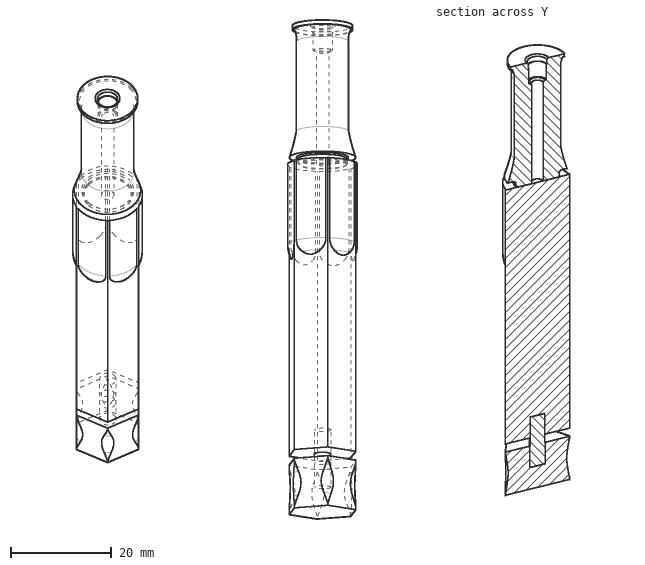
import cadquery as cq
import math

total_height = 98.6
knob_height = 10.1
barrel_bottom = 11.8
barrel_top = 70.5

across_corners = 14.3

grip_diameter = 13.9
grip_bottom = 54.3
grip_round_height = 2.4
grip_round_radius = 6.5
grip_taper_height = 1.2

waist_diameter = 13.1
waist_margin = 0.4
waist_arc_height = 4.7

rod_diameter = 3.3
rod_engagement = 4.9

neck_diameter = 9.8
neck_chamfer_height = 0.2
neck_chamfer_width = 0.2
neck_flare = 0.3

skirt_bottom = 71.9
skirt_diameter = 13.2
skirt_sag = 0.1
tube_diameter = 10.5
tube_bottom = 77.2
tube_top = 95.4
flare_diameter = 11.2
flare_sag = 0.2
flange_diameter = 12.0
flange_thickness = 0.8

mouth_diameter = 4.9
mouth_bore_diameter = 4.0
mouth_chamfer_depth = 0.3
mouth_bore_depth = 1.4
middle_bore_diameter = 3.8
middle_bore_depth = 4.9
countersink_diameter = 3.3
airway_diameter = 2.5


def hex_prism(bottom, top):
    return cq.Workplane("XY").workplane(offset=bottom).polygon(6, across_corners).extrude(top - bottom)


def cylinder(diameter, bottom, top):
    return cq.Workplane("XY").workplane(offset=bottom).circle(diameter / 2).extrude(top - bottom)


def revolve_about_z(profile):
    """Revolve a closed profile, drawn as (radius, height), about the Z axis."""
    return profile.revolve(360, (0, 0, 0), (0, 1, 0))


def make_waist_cutter():
    corner_radius = across_corners / 2
    waist_radius = waist_diameter / 2
    middle = knob_height / 2
    half_height = middle - waist_margin
    half_arc = waist_arc_height / 2
    slope = (corner_radius - waist_radius) / (half_height - half_arc / 2)
    arc_end_radius = waist_radius + slope * half_arc / 2
    profile = (
        cq.Workplane("XZ")
        .moveTo(corner_radius, middle - half_height)
        .lineTo(arc_end_radius, middle - half_arc)
        .threePointArc((waist_radius, middle), (arc_end_radius, middle + half_arc))
        .lineTo(corner_radius, middle + half_height)
        .close()
    )
    return revolve_about_z(profile)


def make_knob():
    rod_socket = cylinder(rod_diameter, knob_height - rod_engagement, knob_height)
    return hex_prism(0, knob_height).cut(make_waist_cutter()).cut(rod_socket)


def make_rod():
    return cylinder(rod_diameter, knob_height - rod_engagement, barrel_bottom + rod_engagement)


def make_grip():
    grip_radius = grip_diameter / 2
    round_angle = math.asin(grip_round_height / grip_round_radius)
    round_end_radius = grip_radius - grip_round_radius * (1 - math.cos(round_angle))
    round_end = grip_bottom - grip_round_height
    taper_end_radius = round_end_radius - grip_taper_height * math.tan(round_angle)
    taper_end = round_end - grip_taper_height
    profile = (
        cq.Workplane("XZ")
        .moveTo(0, taper_end)
        .lineTo(taper_end_radius, taper_end)
        .lineTo(round_end_radius, round_end)
        .radiusArc((grip_radius, grip_bottom), -grip_round_radius)
        .lineTo(grip_radius, barrel_top)
        .lineTo(0, barrel_top)
        .close()
    )
    return revolve_about_z(profile)


def make_barrel():
    rod_socket = cylinder(rod_diameter, barrel_bottom, barrel_bottom + rod_engagement)
    return hex_prism(barrel_bottom, barrel_top).union(make_grip()).cut(rod_socket)


def make_airway():
    mouth_radius = mouth_diameter / 2
    mouth_bore_radius = mouth_bore_diameter / 2
    middle_bore_radius = middle_bore_diameter / 2
    countersink_radius = countersink_diameter / 2
    airway_radius = airway_diameter / 2
    step = total_height - mouth_bore_depth
    ledge = total_height - middle_bore_depth
    countersink_end = ledge - (countersink_radius - airway_radius)
    profile = (
        cq.Workplane("XZ")
        .moveTo(0, barrel_top)
        .lineTo(airway_radius, barrel_top)
        .lineTo(airway_radius, countersink_end)
        .lineTo(countersink_radius, ledge)
        .lineTo(middle_bore_radius, ledge)
        .lineTo(middle_bore_radius, step)
        .lineTo(mouth_bore_radius, step)
        .lineTo(mouth_bore_radius, total_height - mouth_chamfer_depth)
        .lineTo(mouth_radius, total_height)
        .lineTo(0, total_height)
        .close()
    )
    return revolve_about_z(profile)


def make_mouthpiece():
    neck_radius = neck_diameter / 2
    skirt_radius = skirt_diameter / 2
    tube_radius = tube_diameter / 2
    flare_radius = flare_diameter / 2
    flange_radius = flange_diameter / 2
    flange_bottom = total_height - flange_thickness
    profile = (
        cq.Workplane("XZ")
        .moveTo(0, barrel_top)
        .lineTo(neck_radius - neck_chamfer_width, barrel_top)
        .lineTo(neck_radius, barrel_top + neck_chamfer_height)
        .lineTo(neck_radius, skirt_bottom - neck_flare)
        .lineTo(neck_radius + neck_flare, skirt_bottom)
        .lineTo(skirt_radius, skirt_bottom)
        .sagittaArc((tube_radius, tube_bottom), skirt_sag)
        .lineTo(tube_radius, tube_top)
        .sagittaArc((flare_radius, flange_bottom), flare_sag)
        .lineTo(flange_radius, flange_bottom)
        .lineTo(flange_radius, total_height)
        .lineTo(0, total_height)
        .close()
    )
    return revolve_about_z(profile).cut(make_airway())


knob = make_knob()
rod = make_rod()
barrel = make_barrel()
mouthpiece = make_mouthpiece()

result = cq.Compound.makeCompound([knob.val(), rod.val(), barrel.val(), mouthpiece.val()])